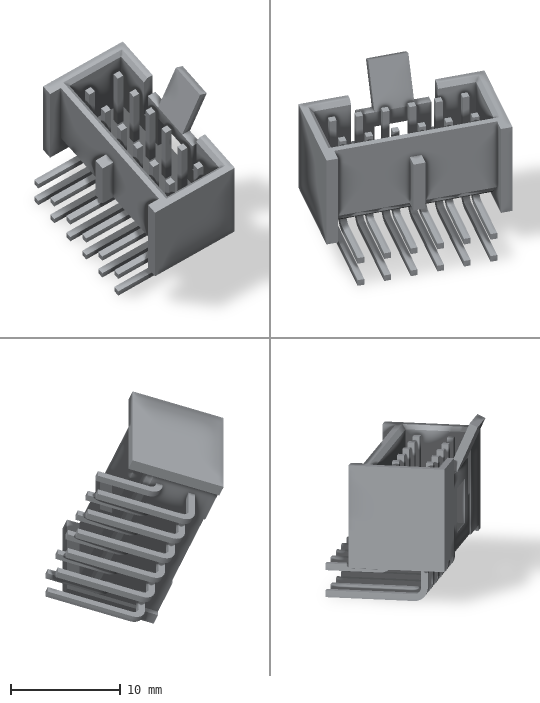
import cadquery as cq
import math


length = 17.78
height = 9.65
back_y = 3.88
wall_front_y = -3.85
plate_front_y = -5.07
plate_thickness = 1.1
cavity_length = length - 2 * plate_thickness
cavity_half_depth = 2.9
cavity_floor_z = 2.1
mouth_chamfer = 0.4
slab_bottom_z = 0.52
slab_chamfer = 0.48

rib_width = 1.14
rib_top_z = 7.38

notch_width = 8.32
notch_floor_z = 4.37
notch_back_y = 3.73
beam_width = 7.05
beam_top_z = 7.91
window_top_z = 6.25
tab_width = 3.84
tab_length = 4.95
tab_thickness = 0.82
tab_tilt = math.radians(24)

pins_per_row = 6
pin_pitch = 2.55
pin_size = 0.64
row_spacing = 3.18
pin_top_z = 9.05
pin_end_y = -7.63
front_row_bottom_z = -0.84
back_row_bottom_z = front_row_bottom_z - pin_pitch
bend_outer_radius = 1.28
bend_inner_radius = bend_outer_radius - pin_size


def block(width, y_min, y_max, z_min, z_max):
    """Box centred on X = 0 between the given Y and Z limits."""
    box = cq.Workplane("XY").box(width, y_max - y_min, z_max - z_min, centered=(True, False, False))
    return box.translate((0, y_min, z_min))


def make_housing():
    """End plates, walls and floor slab with the front undercut and the chamfered cavity."""
    body = block(length, plate_front_y, back_y, 0, height)

    body = body.cut(block(cavity_length, plate_front_y, wall_front_y, 0, height))
    body = body.cut(block(cavity_length, plate_front_y, back_y, 0, slab_bottom_z))

    slab_front_y = -cavity_half_depth
    undercut = (
        cq.Workplane("YZ")
        .moveTo(wall_front_y, cavity_floor_z)
        .lineTo(slab_front_y, cavity_floor_z)
        .lineTo(slab_front_y, slab_bottom_z + slab_chamfer)
        .lineTo(slab_front_y + slab_chamfer, slab_bottom_z)
        .lineTo(wall_front_y, slab_bottom_z)
        .close()
        .extrude(cavity_length / 2, both=True)
    )
    body = body.cut(undercut)

    cavity = block(cavity_length, -cavity_half_depth, cavity_half_depth, cavity_floor_z, height)
    mouth = (
        cq.Workplane("XY")
        .workplane(offset=height)
        .rect(cavity_length + 2 * mouth_chamfer, 2 * (cavity_half_depth + mouth_chamfer))
        .workplane(offset=-mouth_chamfer)
        .rect(cavity_length, 2 * cavity_half_depth)
        .loft(ruled=True)
    )
    body = body.cut(cavity).cut(mouth)

    rib = block(rib_width, plate_front_y, wall_front_y, cavity_floor_z, rib_top_z)
    return body.union(rib)


def make_tab():
    """Flat tab leaning backwards from the inner top edge of the latch beam."""
    along = (math.sin(tab_tilt), math.cos(tab_tilt))
    across = (math.cos(tab_tilt), -math.sin(tab_tilt))
    return (
        cq.Workplane("YZ")
        .moveTo(cavity_half_depth, beam_top_z)
        .line(tab_length * along[0], tab_length * along[1])
        .line(tab_thickness * across[0], tab_thickness * across[1])
        .line(-tab_length * along[0], -tab_length * along[1])
        .close()
        .extrude(tab_width / 2, both=True)
    )


def add_latch(body):
    """Notch the back wall, then fit the windowed beam and its tab."""
    body = body.cut(block(notch_width, cavity_half_depth, back_y, notch_floor_z, height))
    body = body.cut(block(notch_width, notch_back_y, back_y, 0, height))
    body = body.union(block(beam_width, cavity_half_depth, notch_back_y, notch_floor_z, beam_top_z))
    body = body.cut(block(tab_width, cavity_half_depth, notch_back_y, cavity_floor_z, window_top_z))
    return body.union(make_tab())


def make_pin(x, y, bottom_z):
    """Square pin that drops through the slab and bends forward."""
    front_face = y - pin_size / 2
    bend_start_z = bottom_z + bend_outer_radius
    profile = (
        cq.Workplane("YZ")
        .moveTo(front_face, pin_top_z)
        .lineTo(front_face + pin_size, pin_top_z)
        .lineTo(front_face + pin_size, bend_start_z)
        .radiusArc((front_face - bend_inner_radius, bottom_z), bend_outer_radius)
        .lineTo(pin_end_y, bottom_z)
        .lineTo(pin_end_y, bottom_z + pin_size)
        .lineTo(front_face - bend_inner_radius, bottom_z + pin_size)
        .radiusArc((front_face, bend_start_z), -bend_inner_radius)
        .close()
    )
    return profile.extrude(pin_size / 2, both=True).translate((x, 0, 0))


result = add_latch(make_housing())
for index in range(pins_per_row):
    pin_x = (index - (pins_per_row - 1) / 2) * pin_pitch
    result = result.union(make_pin(pin_x, row_spacing / 2, back_row_bottom_z))
    result = result.union(make_pin(pin_x, -row_spacing / 2, front_row_bottom_z))